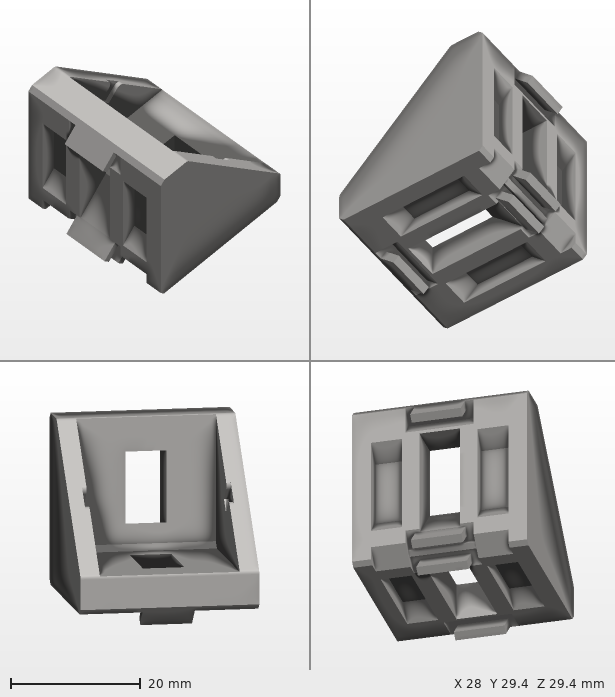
import cadquery as cq
import math


width = 28.0
leg = 26.95
wall = 6.0
end_chamfer = 0.82
corner_chamfer = 0.7
edge_radius = 1.0

cavity_width = 21.87
cavity_chamfer = 0.97

window_width = 6.47
window_low = 4.17
window_high = 21.45

pocket_width = 4.95
pocket_offset = 8.5
pocket_low = 5.62
pocket_high = 20.93
pocket_depth = 2.53

relief_width = 21.93
relief_leg = 2.8
web_relief_leg = 3.55

tab_width = 8.08
tab_step = 0.97
end_tab_reach = 2.45
corner_tab_reach = 2.05
corner_tab_level = 4.1
notch_width = 10.88
notch_depth = 2.1
end_notch_top = leg - end_chamfer
corner_notch_top = 4.9

slot_width_x = 0.7
slot_length = 2.5
slot_depth = 3.53
slot_lip_radius = 1.0


def prism(points, size_x, center_x=0):
    """Extrude a (y, z) outline along x, centred at center_x."""
    outline = cq.Workplane("YZ", origin=(center_x, 0, 0)).polyline(points).close()
    return outline.extrude(size_x / 2, both=True)


def both_walls(points, size_x, center_x=0):
    """Make a prism together with its mirror image about y = z."""
    swapped = [(z, y) for y, z in points]
    return prism(points, size_x, center_x).union(prism(swapped, size_x, center_x))


def make_body():
    outline = [
        (corner_chamfer, 0),
        (leg - end_chamfer, 0),
        (leg, end_chamfer),
        (leg, wall),
        (wall, leg),
        (end_chamfer, leg),
        (0, leg - end_chamfer),
        (0, corner_chamfer),
    ]
    body = prism(outline, width)
    for y, z in ((leg, wall), (wall, leg)):
        edge = cq.selectors.NearestToPointSelector((0, y, z))
        body = body.edges(edge).fillet(edge_radius)
    return body


def make_cavity():
    outline = [
        (wall + cavity_chamfer, wall),
        (leg + wall, wall),
        (wall, leg + wall),
        (wall, wall + cavity_chamfer),
    ]
    return prism(outline, cavity_width)


def make_windows():
    outline = [
        (0, window_low),
        (wall, window_low + wall),
        (wall, window_high),
        (0, window_high),
    ]
    return both_walls(outline, window_width)


def make_pockets(center_x):
    outline = [
        (0, pocket_low),
        (pocket_depth, pocket_low + pocket_depth),
        (pocket_depth, pocket_high - pocket_depth),
        (0, pocket_high),
    ]
    return both_walls(outline, pocket_width, center_x)


def make_corner_relief(leg_length, size_x):
    return prism([(0, 0), (leg_length, 0), (0, leg_length)], size_x)


def make_notches(top):
    outline = [(0, top), (notch_depth, top - notch_depth), (0, top - 2 * notch_depth)]
    return both_walls(outline, notch_width)


def make_tabs(root_y, root_z, reach):
    """45 degree tabs with the upper root corner at (root_y, root_z) and the tip at y = -reach."""
    tip_z = root_z - root_y - reach
    outline = [
        (root_y, root_z),
        (-reach, tip_z),
        (tab_step - reach, tip_z - tab_step),
        (root_y + tab_step, root_z - tab_step),
    ]
    return both_walls(outline, tab_width)


def make_latch_slot(center_x):
    """Slot cutter whose two mouth edges flare out over rounded lips."""
    slope_middle = (leg + wall) / 2
    plane = cq.Plane(
        origin=(center_x, slope_middle, slope_middle), xDir=(0, 1, -1), normal=(1, 0, 0)
    )
    half = slot_length / 2
    r = slot_lip_radius
    arc_inset = r * (1 - math.sqrt(0.5))
    outline = (
        cq.Workplane(plane)
        .moveTo(-half, -slot_depth)
        .lineTo(half, -slot_depth)
        .lineTo(half, -r)
        .threePointArc((half + arc_inset, -arc_inset), (half + r, 0))
        .lineTo(-half - r, 0)
        .threePointArc((-half - arc_inset, -arc_inset), (-half, -r))
        .close()
    )
    return outline.extrude(slot_width_x / 2, both=True)


result = make_body().cut(make_cavity()).cut(make_windows())
result = result.cut(make_corner_relief(relief_leg, relief_width))
result = result.cut(make_corner_relief(web_relief_leg, notch_width))
for notch_top in (end_notch_top, corner_notch_top):
    result = result.cut(make_notches(notch_top))

slot_center = (cavity_width + slot_width_x) / 2
for side in (-1, 1):
    result = result.cut(make_pockets(side * pocket_offset))
    result = result.cut(make_latch_slot(side * slot_center))

corner_tab_root_y = (corner_notch_top - corner_tab_level) / 2
corner_tab_root_z = (corner_notch_top + corner_tab_level) / 2
result = result.union(make_tabs(0, end_notch_top, end_tab_reach))
result = result.union(make_tabs(corner_tab_root_y, corner_tab_root_z, corner_tab_reach))